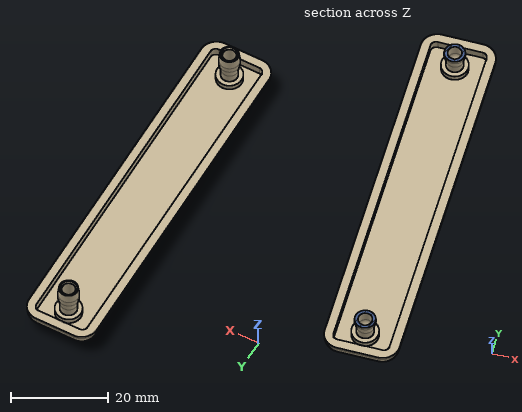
import cadquery as cq
import math

length = 80.0
width = 16.0
tray_height = 4.0
corner_radius = 3.6
bottom_fillet = 3.5
rim_width = 2.0
pocket_depth = 2.0
pocket_corner_radius = 1.2

total_height = 10.3
peg_offset = 34.0
boss_radius = 2.9
boss_height = 1.3
neck_radius = 1.8
barb_radius = 2.2
tip_radius = 2.0
neck_top = 5.3
barb_bottom = 7.2
barb_top = 8.4

bore_radius = 1.4
mouth_chamfer = 0.3
bore_bottom = 4.0

floor_height = tray_height - pocket_depth
boss_top = floor_height + boss_height


def rounded_slab(size_x, size_y, height, radius):
    slab = cq.Workplane("XY").box(size_x, size_y, height, centered=(True, True, False))
    return slab.edges("|Z").fillet(radius)


def make_tray():
    body = rounded_slab(width, length, tray_height, corner_radius)
    body = body.faces("<Z").edges().fillet(bottom_fillet)
    pocket = rounded_slab(
        width - 2 * rim_width, length - 2 * rim_width, pocket_depth, pocket_corner_radius
    )
    return body.cut(pocket.translate((0, 0, floor_height)))


def make_peg():
    """Hollow barbed peg and its boss, revolved about the Z axis."""
    bore_round_start = bore_bottom + bore_radius
    arc_middle = bore_radius * math.sin(math.radians(45))
    profile = (
        cq.Workplane("YZ")
        .moveTo(0, floor_height)
        .lineTo(-boss_radius, floor_height)
        .lineTo(-boss_radius, boss_top)
        .lineTo(-neck_radius, boss_top)
        .lineTo(-neck_radius, neck_top)
        .lineTo(-barb_radius, barb_bottom)
        .lineTo(-barb_radius, barb_top)
        .lineTo(-tip_radius, total_height)
        .lineTo(-bore_radius - mouth_chamfer, total_height)
        .lineTo(-bore_radius, total_height - mouth_chamfer)
        .lineTo(-bore_radius, bore_round_start)
        .threePointArc((-arc_middle, bore_round_start - arc_middle), (0, bore_bottom))
        .close()
    )
    return profile.revolve(360, (0, 0, 0), (0, 1, 0))


result = make_tray()
for peg_y in (-peg_offset, peg_offset):
    result = result.union(make_peg().translate((0, peg_y, 0)))